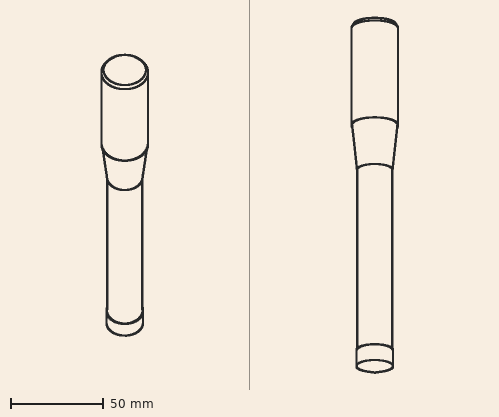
import cadquery as cq
import math

total_length = 199.9

tip_diameter = 20.0
tip_length = 13.0
point_angle = 138.0

neck_diameter = 19.2
taper_start_z = 116.5
taper_small_diameter = 19.4
taper_large_diameter = 24.8
shank_start_z = 142.3
shank_diameter = 25.4
chamfer_width = 1.2
chamfer_height = 2.0

tip_radius = tip_diameter / 2
neck_radius = neck_diameter / 2
shank_radius = shank_diameter / 2
point_height = tip_radius / math.tan(math.radians(point_angle / 2))


def revolve_profile(points):
    """Turn a closed (radius, z) outline around the Z axis."""
    outline = cq.Workplane("XZ").polyline(points).close()
    return outline.revolve(360, (0, 0, 0), (0, 1, 0))


def make_cutting_tip():
    """Short cylinder ending in a conical drill point."""
    return revolve_profile([
        (0, 0),
        (tip_radius, point_height),
        (tip_radius, tip_length),
        (0, tip_length),
    ])


def make_tool_body():
    """Neck resting on the tip, widening through a taper to a chamfered shank."""
    return revolve_profile([
        (0, tip_length),
        (neck_radius, tip_length),
        (neck_radius, taper_start_z),
        (taper_small_diameter / 2, taper_start_z),
        (taper_large_diameter / 2, shank_start_z),
        (shank_radius, shank_start_z),
        (shank_radius, total_length - chamfer_height),
        (shank_radius - chamfer_width, total_length),
        (0, total_length),
    ])


cutting_tip = make_cutting_tip()
tool_body = make_tool_body()

result = cq.Compound.makeCompound([cutting_tip.val(), tool_body.val()])